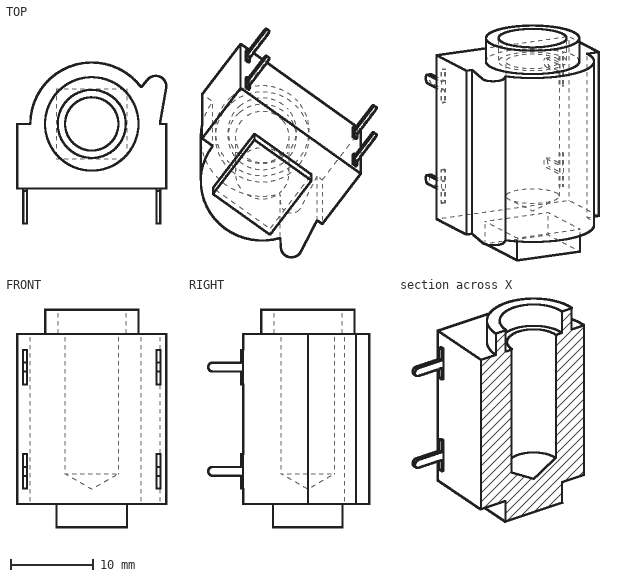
import cadquery as cq
import math


housing_width = 18.2
housing_height = 20.75
barrel_radius = 7.5
mounting_face_y = -7.9

ear_tip_radius = 1.3
ear_tip_x = housing_width / 2 - ear_tip_radius
ear_tip_y = 4.57
ear_outer_lean = 10.0
ear_inner_slope = 50.0

collar_radius = 5.7
collar_height = 2.95
counterbore_radius = 4.15
counterbore_depth = collar_height
bore_radius = 3.25
bore_depth = 20.0
bore_point_angle = 120.0

rear_block_width = 8.65
rear_block_depth = 8.5
rear_block_height = 2.83

pin_thickness = 0.5
pin_width = 1.1
pin_tip_y = -12.15
pin_spacing_x = 16.25
pin_spacing_z = 12.7
upper_pin_inset = 4.05
upper_pin_z = housing_height - upper_pin_inset
pin_foot_length = 4.2
pin_foot_height = 0.25


def make_ear():
    """Round-tipped ear whose straight flanks are tangent to the tip."""
    lean = math.radians(ear_outer_lean)
    slope = math.radians(ear_inner_slope)
    outer_tangent = (
        ear_tip_x + ear_tip_radius * math.cos(lean),
        ear_tip_y - ear_tip_radius * math.sin(lean),
    )
    inner_tangent = (
        ear_tip_x - ear_tip_radius * math.sin(slope),
        ear_tip_y + ear_tip_radius * math.cos(slope),
    )
    tip_top = (ear_tip_x, ear_tip_y + ear_tip_radius)
    outer_root_x = outer_tangent[0] - outer_tangent[1] * math.tan(lean)
    inner_root_x = inner_tangent[0] - inner_tangent[1] / math.tan(slope)
    return (
        cq.Workplane("XY")
        .moveTo(outer_root_x, 0)
        .lineTo(*outer_tangent)
        .threePointArc(tip_top, inner_tangent)
        .lineTo(inner_root_x, 0)
        .close()
        .extrude(housing_height)
    )


def make_housing():
    """Rectangular base merged with the barrel and the ear."""
    base = cq.Workplane("XY").box(
        housing_width, -mounting_face_y, housing_height, centered=(True, False, False)
    ).translate((0, mounting_face_y, 0))
    barrel = cq.Workplane("XY").circle(barrel_radius).extrude(housing_height)
    return base.union(barrel).union(make_ear())


def make_collar():
    return (
        cq.Workplane("XY")
        .workplane(offset=housing_height)
        .circle(collar_radius)
        .extrude(collar_height)
    )


def make_bore():
    """Counterbored blind bore with a conical end, revolved about Z."""
    rim_z = housing_height + collar_height
    step_z = rim_z - counterbore_depth
    bore_end_z = rim_z - bore_depth
    point_z = bore_end_z - bore_radius / math.tan(math.radians(bore_point_angle / 2))
    return (
        cq.Workplane("XZ")
        .moveTo(0, rim_z)
        .lineTo(counterbore_radius, rim_z)
        .lineTo(counterbore_radius, step_z)
        .lineTo(bore_radius, step_z)
        .lineTo(bore_radius, bore_end_z)
        .lineTo(0, point_z)
        .close()
        .revolve(360, (0, 0, 0), (0, 1, 0))
    )


def make_rear_block():
    return cq.Workplane("XY").box(
        rear_block_width, rear_block_depth, rear_block_height, centered=(True, True, False)
    ).translate((0, 0, -rear_block_height))


def make_pin(x, z):
    """Flat pin with a full-round tip, rising from a thin foot strip."""
    half_width = pin_width / 2
    half_foot = pin_foot_length / 2
    foot_y = mounting_face_y - pin_foot_height
    round_start_y = pin_tip_y + half_width
    return (
        cq.Workplane("YZ")
        .moveTo(mounting_face_y, -half_foot)
        .lineTo(foot_y, -half_foot)
        .lineTo(foot_y, -half_width)
        .lineTo(round_start_y, -half_width)
        .threePointArc((pin_tip_y, 0), (round_start_y, half_width))
        .lineTo(foot_y, half_width)
        .lineTo(foot_y, half_foot)
        .lineTo(mounting_face_y, half_foot)
        .close()
        .extrude(pin_thickness / 2, both=True)
        .translate((x, 0, z))
    )


result = make_housing().union(make_collar()).union(make_rear_block()).cut(make_bore())
for pin_x in (-pin_spacing_x / 2, pin_spacing_x / 2):
    for pin_z in (upper_pin_z, upper_pin_z - pin_spacing_z):
        result = result.union(make_pin(pin_x, pin_z))